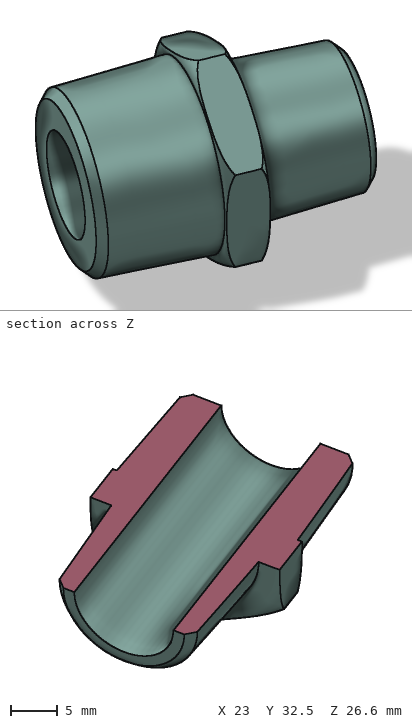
import cadquery as cq
import math

total_length = 32.5
hex_width = 23.0
hex_thickness = 5.0
large_length = 14.0
bore_diameter = 12.02

large_root_radius = 11.02
large_tip_radius = 10.5
small_root_radius = 8.97
small_tip_radius = 8.4
chamfer_length = 1.0
chamfer_depth = 1.05

hex_face_radius = 11.05
hex_round_radius = 3.0

small_length = total_length - large_length - hex_thickness
hex_corner_radius = hex_width / math.sqrt(3)
hex_round_reach = hex_corner_radius - hex_face_radius
hex_round_drop = hex_round_radius - math.sqrt(hex_round_radius**2 - hex_round_reach**2)

large_end = -total_length / 2
hex_start = large_end + large_length
hex_end = hex_start + hex_thickness
small_end = hex_end + small_length


def y_plane(y):
    """Plane at the given Y, with its normal toward +Y and its local Y along global X."""
    return cq.Workplane(cq.Plane(origin=(0, y, 0), xDir=(0, 0, 1), normal=(0, 1, 0)))


def tapered_stub(root_y, end_y, root_radius, tip_radius):
    """Tapered stub with a chamfered outer end."""
    outward = math.copysign(1, end_y - root_y)
    outline = [
        (0, root_y),
        (root_radius, root_y),
        (tip_radius, end_y - outward * chamfer_length),
        (tip_radius - chamfer_depth, end_y),
        (0, end_y),
    ]
    return cq.Workplane("XY").polyline(outline).close().revolve(360, (0, 0, 0), (0, 1, 0))


def rounded_hexagon():
    """Hexagon with corners on Z, its corners rounded off toward both faces."""
    prism = y_plane(hex_start).polygon(6, 2 * hex_corner_radius).extrude(hex_thickness)
    half_sweep = math.asin(hex_round_reach / hex_round_radius) / 2
    middle_radius = hex_face_radius + hex_round_radius * math.sin(half_sweep)
    middle_drop = hex_round_radius * (1 - math.cos(half_sweep))
    envelope = (
        cq.Workplane("XY")
        .moveTo(0, hex_start)
        .lineTo(hex_face_radius, hex_start)
        .threePointArc(
            (middle_radius, hex_start + middle_drop),
            (hex_corner_radius, hex_start + hex_round_drop),
        )
        .lineTo(hex_corner_radius, hex_end - hex_round_drop)
        .threePointArc(
            (middle_radius, hex_end - middle_drop),
            (hex_face_radius, hex_end),
        )
        .lineTo(0, hex_end)
        .close()
        .revolve(360, (0, 0, 0), (0, 1, 0))
    )
    return prism.intersect(envelope)


large_stub = tapered_stub(hex_start, large_end, large_root_radius, large_tip_radius)
small_stub = tapered_stub(hex_end, small_end, small_root_radius, small_tip_radius)
bore = y_plane(large_end).circle(bore_diameter / 2).extrude(total_length)

result = rounded_hexagon().union(large_stub).union(small_stub).cut(bore)